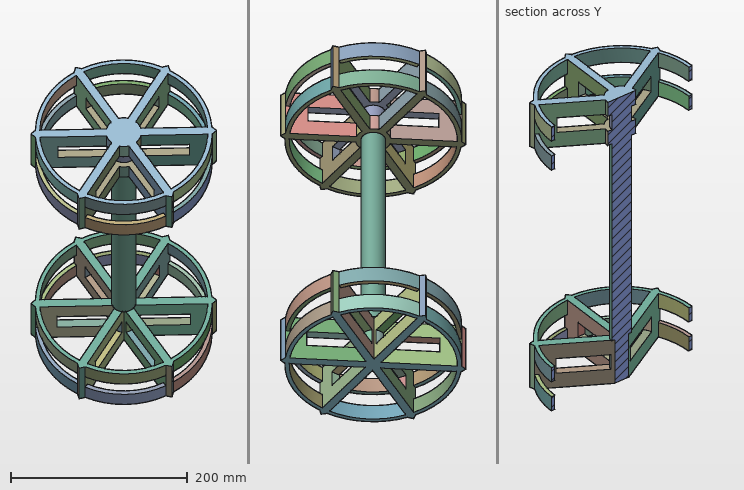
import cadquery as cq

total_height = 392
wheel_height = 60
upper_wheel_base = total_height - wheel_height

rim_radius = 100
rim_thickness = 5
band_height = wheel_height / 3

spoke_count = 6
spoke_width = 10
tip_radius = rim_radius + spoke_width / 2
upper_window_outer_radius = 74.4
lower_window_outer_radius = 75.7

shaft_radius = 14
hub_radius = 20


def tube(base, height, outer_radius, inner_radius):
    """Ring about the Z axis whose lower face is at height base."""
    ring = cq.Workplane("XY", origin=(0, 0, base)).circle(outer_radius).circle(inner_radius)
    return ring.extrude(height)


def rim(base):
    """Lower and upper rim bands of a wheel."""
    inner_radius = rim_radius - rim_thickness
    lower_band = tube(base, band_height, rim_radius, inner_radius)
    upper_band = tube(base + wheel_height - band_height, band_height, rim_radius, inner_radius)
    return lower_band.union(upper_band)


def spokes(base):
    """Evenly spaced upright plates that meet on the axis and end in a pointed ridge."""
    half_width = spoke_width / 2
    outline = [
        (-half_width, 0),
        (half_width, 0),
        (half_width, rim_radius),
        (0, tip_radius),
        (-half_width, rim_radius),
    ]
    plate = cq.Workplane("XY", origin=(0, 0, base)).polyline(outline).close().extrude(wheel_height)
    star = plate
    for index in range(1, spoke_count):
        angle = index * 360 / spoke_count
        star = star.union(plate.rotate((0, 0, 0), (0, 0, 1), angle))
    return star


def spoke_windows(base, outer_radius):
    """Annular cut that opens a window at mid height in every spoke."""
    window_height = wheel_height - 2 * band_height
    return tube(base + band_height, window_height, outer_radius, shaft_radius)


def lower_wheel():
    """Wheel at the foot of the shaft, with spokes that simply cross on the axis."""
    body = spokes(0).cut(spoke_windows(0, lower_window_outer_radius))
    return body.union(rim(0))


def upper_wheel():
    """Wheel at the head of the shaft, with a round hub that the windows cut down to the shaft."""
    hub = cq.Workplane("XY", origin=(0, 0, upper_wheel_base)).circle(hub_radius).extrude(wheel_height)
    body = spokes(upper_wheel_base).union(hub)
    body = body.cut(spoke_windows(upper_wheel_base, upper_window_outer_radius))
    return body.union(rim(upper_wheel_base))


def shaft():
    """Round bar spanning the gap between the two wheels."""
    length = upper_wheel_base - wheel_height
    return cq.Workplane("XY", origin=(0, 0, wheel_height)).circle(shaft_radius).extrude(length)


result = lower_wheel().union(upper_wheel()).union(shaft())